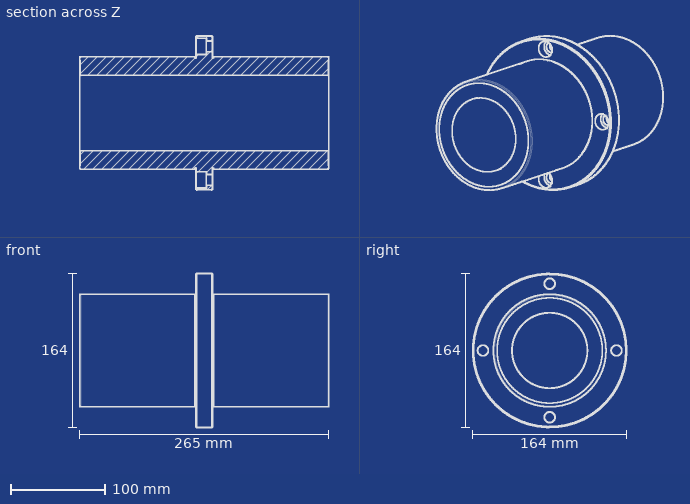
import cadquery as cq

length = 265.0
sleeve_diameter = 120.0
bore_diameter = 80.0
sleeve_rim_fillet = 1.0

recess_diameter = 112.0
recess_depth = 0.3

flange_diameter = 164.0
flange_thickness = 18.0
flange_rim_chamfer = 1.0

relief_size = 1.3

hole_count = 4
hole_diameter = 11.0
counterbore_diameter = 17.0
counterbore_depth = 11.0
bolt_circle_diameter = (sleeve_diameter + flange_diameter) / 2


def centred_cylinder(diameter, height):
    """Cylinder along X, centred on the origin."""
    start = cq.Workplane("YZ", origin=(-height / 2, 0, 0))
    return start.circle(diameter / 2).extrude(height)


def half_sleeve():
    """Sleeve from the origin to its +X end, with the relief cut beside the flange face."""
    radius = sleeve_diameter / 2
    root = flange_thickness / 2
    end = length / 2
    rim_start = (end - sleeve_rim_fillet, radius)
    rim_end = (end, radius - sleeve_rim_fillet)
    return (
        cq.Workplane("XY")
        .lineTo(0, radius - relief_size)
        .lineTo(root, radius - relief_size)
        .lineTo(root + relief_size, radius)
        .lineTo(*rim_start)
        .tangentArcPoint(rim_end, relative=False)
        .lineTo(end, 0)
        .close()
        .revolve(360, (0, 0, 0), (1, 0, 0))
    )


def flange():
    """Round flange with chamfered rims."""
    return centred_cylinder(flange_diameter, flange_thickness).edges().chamfer(flange_rim_chamfer)


def drill_screw_holes(part):
    """Cut the counterbored holes on the bolt circle, at +Y, +Z, -Y and -Z."""
    front_face = cq.Workplane("ZY", origin=(-flange_thickness / 2, 0, 0))
    return (
        part.copyWorkplane(front_face)
        .polarArray(bolt_circle_diameter / 2, 0, 360, hole_count)
        .cboreHole(hole_diameter, counterbore_diameter, counterbore_depth, flange_thickness)
    )


def end_recesses():
    """Cutter for the shallow recesses in both sleeve ends."""
    outside = centred_cylinder(recess_diameter, length)
    return outside.cut(centred_cylinder(recess_diameter, length - 2 * recess_depth))


right_half = half_sleeve()
body = right_half.union(right_half.mirror("YZ")).union(flange())
body = drill_screw_holes(body)
result = body.cut(end_recesses()).cut(centred_cylinder(bore_diameter, length))